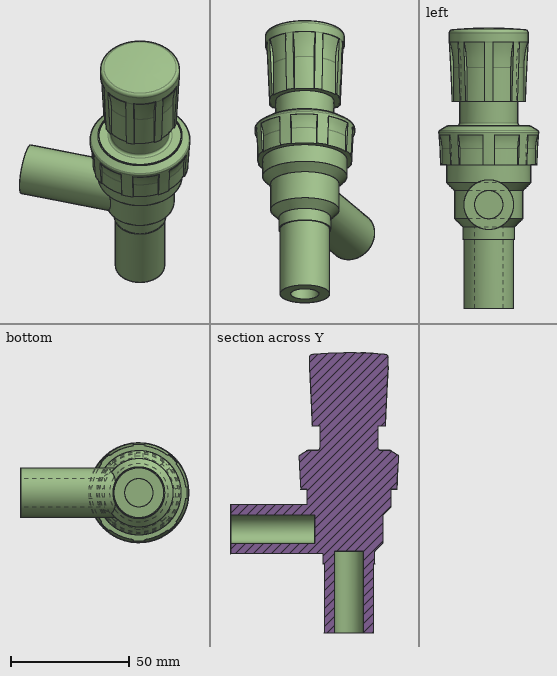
import cadquery as cq
import math


overall_length = 71.2

pipe_radius = 21.0 / 2
bore_radius = 12.0 / 2

shoulder_radius = 22.0 / 2
shoulder_bottom = 29.3
shoulder_top = 34.5
chamber_radius = 14.5
chamber_bottom = shoulder_top + (chamber_radius - shoulder_radius)
chamber_top = 49.9
seat_radius = 35.7 / 2
seat_bottom = chamber_top + (seat_radius - chamber_radius)
side_spigot_height = (chamber_bottom + chamber_top) / 2

nut_bottom = 60.8
nut_flute_tangent = 67.8
nut_rim_bottom = 73.5
nut_rim_top = 74.5
nut_top = 77.2
nut_radius = 42.4 / 2
nut_bottom_radius = 20.4
nut_core_radius = 20.0
nut_flute_top_radius = 21.0
nut_edge_round = 1.0
nut_slope = math.radians(32)
nut_rib_width = 5.0

side_spigot_reach = overall_length - nut_radius

flange_radius = 17.3
flange_top = 77.4
neck_radius = 24.7 / 2
neck_fillet = 1.2

knob_bottom = 87.5
knob_flute_tangent = 102.0
knob_rim_bottom = 112.6
knob_top = 118.7
knob_radius = 33.5 / 2
knob_bottom_radius = 15.5
knob_core_radius = 15.0
knob_flute_top_radius = 16.5
knob_fillet = 1.4
knob_dome_rise = 0.7
knob_rib_width = 3.5

rib_count = 8


def tangent_flare(profile, core_radius, start, top_radius, top):
    """Continue a vertical core line with a tangent arc that flares out to top_radius."""
    height = top - start
    flare = top_radius - core_radius
    arc_radius = (height**2 + flare**2) / (2 * flare)
    half_angle = math.asin(height / arc_radius) / 2
    middle = (
        core_radius + arc_radius * (1 - math.cos(half_angle)),
        start + arc_radius * math.sin(half_angle),
    )
    return profile.threePointArc(middle, (top_radius, top))


def revolve_about_z(profile):
    return profile.close().revolve(360, (0, 0, 0), (0, 1, 0))


def grip_ribs(width, bottom, bottom_radius, top, top_radius):
    """Radial ribs, trimmed on the outside by a cone that widens upwards."""
    cone = revolve_about_z(
        cq.Workplane("XZ")
        .moveTo(0, bottom)
        .lineTo(bottom_radius, bottom)
        .lineTo(top_radius, top)
        .lineTo(0, top)
    )
    bar_length = 3 * top_radius
    bars = cq.Workplane("XY")
    for index in range(rib_count // 2):
        bar = (
            cq.Workplane("XY", origin=(0, 0, bottom))
            .rect(bar_length, width)
            .extrude(top - bottom)
            .rotate((0, 0, 0), (0, 0, 1), index * 360 / rib_count)
        )
        bars = bars.union(bar)
    return bars.intersect(cone)


def valve_body():
    profile = (
        cq.Workplane("XZ")
        .lineTo(pipe_radius, 0)
        .lineTo(pipe_radius, shoulder_bottom)
        .lineTo(shoulder_radius, shoulder_bottom)
        .lineTo(shoulder_radius, shoulder_top)
        .lineTo(chamber_radius, chamber_bottom)
        .lineTo(chamber_radius, chamber_top)
        .lineTo(seat_radius, seat_bottom)
        .lineTo(seat_radius, nut_bottom)
        .lineTo(0, nut_bottom)
    )
    return revolve_about_z(profile)


def side_spigot():
    return (
        cq.Workplane("YZ", origin=(-side_spigot_reach, 0, side_spigot_height))
        .circle(pipe_radius)
        .extrude(side_spigot_reach)
    )


def side_bore():
    """Flat-ended bore as deep as the spigot is long."""
    return (
        cq.Workplane("YZ", origin=(-side_spigot_reach, 0, side_spigot_height))
        .circle(bore_radius)
        .extrude(side_spigot_reach - chamber_radius)
    )


def bottom_bore():
    """The matching bore of the lower spigot, ending at the top of its shoulder."""
    return cq.Workplane("XY").circle(bore_radius).extrude(shoulder_top)


def union_nut_and_neck():
    edge_radius = nut_radius - nut_edge_round * (1 - math.sin(nut_slope))
    edge_height = nut_rim_top + nut_edge_round * math.cos(nut_slope)
    flat_radius = edge_radius - (nut_top - edge_height) / math.tan(nut_slope)
    taper = (nut_radius - nut_bottom_radius) / (nut_rim_top - nut_bottom)
    rim_bottom_radius = nut_radius - taper * (nut_rim_top - nut_rim_bottom)
    profile = (
        cq.Workplane("XZ")
        .moveTo(0, nut_bottom)
        .lineTo(nut_core_radius, nut_bottom)
        .lineTo(nut_core_radius, nut_flute_tangent)
    )
    profile = tangent_flare(
        profile, nut_core_radius, nut_flute_tangent, nut_flute_top_radius, nut_rim_bottom
    )
    profile = (
        profile.lineTo(rim_bottom_radius, nut_rim_bottom)
        .lineTo(nut_radius, nut_rim_top)
        .radiusArc((edge_radius, edge_height), -nut_edge_round)
        .lineTo(flat_radius, nut_top)
        .lineTo(flange_radius, nut_top)
        .lineTo(flange_radius, flange_top)
        .lineTo(neck_radius + neck_fillet, flange_top)
        .radiusArc((neck_radius, flange_top + neck_fillet), neck_fillet)
        .lineTo(neck_radius, knob_bottom)
        .lineTo(0, knob_bottom)
    )
    ribs = grip_ribs(nut_rib_width, nut_bottom, nut_bottom_radius, nut_rim_bottom, rim_bottom_radius)
    return revolve_about_z(profile).union(ribs)


def knob():
    dome_edge = knob_top - knob_dome_rise
    profile = (
        cq.Workplane("XZ")
        .moveTo(0, knob_bottom)
        .lineTo(knob_core_radius, knob_bottom)
        .lineTo(knob_core_radius, knob_flute_tangent)
    )
    profile = tangent_flare(
        profile, knob_core_radius, knob_flute_tangent, knob_flute_top_radius, knob_rim_bottom
    )
    dome_radius = knob_radius - knob_fillet
    sphere_radius = (dome_radius**2 + knob_dome_rise**2) / (2 * knob_dome_rise)
    profile = (
        profile.lineTo(knob_radius, knob_rim_bottom)
        .lineTo(knob_radius, dome_edge - knob_fillet)
        .radiusArc((dome_radius, dome_edge), -knob_fillet)
        .radiusArc((0, knob_top), -sphere_radius)
    )
    ribs = grip_ribs(knob_rib_width, knob_bottom, knob_bottom_radius, knob_rim_bottom, knob_radius)
    return revolve_about_z(profile).union(ribs)


result = (
    valve_body()
    .union(side_spigot())
    .union(union_nut_and_neck())
    .union(knob())
    .cut(side_bore())
    .cut(bottom_bore())
)